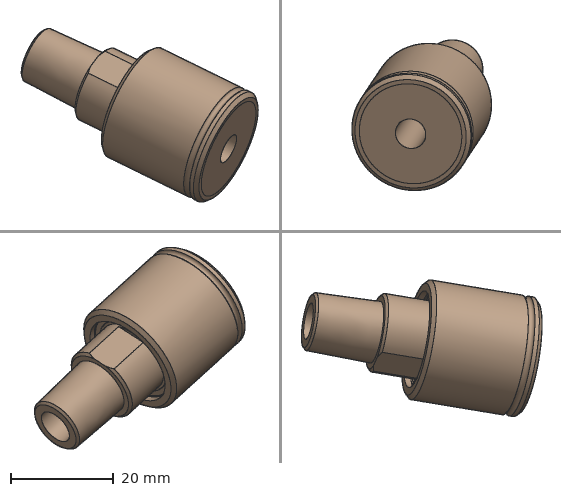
import cadquery as cq


length = 44.05
sleeve_radius = 23.6 / 2

sleeve_start = 21.8
counterbore_radius = 19.05 / 2
counterbore_end = 23.1
lip_radius = 18.9 / 2
lip_end = 23.4
sleeve_chamfer = 0.8
groove_start = 41.07
groove_end = 42.4
groove_depth = 0.57

tip_radius = 5.75
taper_end_radius = 6.1
tip_chamfer_length = 0.5
tip_chamfer_depth = 0.5

collar_start = 13.5
collar_radius = 15.5 / 2
collar_chamfer = 0.55
flat_height = 7.1
flat_end = 22.85

step_start = 23.4
step_radius = 16.65 / 2
flange_start = 23.95
flange_radius = 20.3 / 2

mouth_radius = 7.1 / 2
throat_radius = 6.0 / 2
cone_start = flange_start
cone_end = cone_start + mouth_radius - throat_radius


def revolve_about_x(profile):
    """Turn a closed profile of (x, radius) points into a solid of revolution."""
    return profile.close().revolve(360, (0, 0, 0), (1, 0, 0))


def make_sleeve():
    profile = (
        cq.Workplane("XY")
        .moveTo(sleeve_start, counterbore_radius)
        .lineTo(sleeve_start, sleeve_radius - sleeve_chamfer)
        .lineTo(sleeve_start + sleeve_chamfer, sleeve_radius)
        .lineTo(groove_start, sleeve_radius)
        .threePointArc(
            ((groove_start + groove_end) / 2, sleeve_radius - groove_depth),
            (groove_end, sleeve_radius),
        )
        .lineTo(length - sleeve_chamfer, sleeve_radius)
        .lineTo(length, sleeve_radius - sleeve_chamfer)
        .lineTo(length, flange_radius)
        .lineTo(lip_end, flange_radius)
        .lineTo(lip_end, lip_radius)
        .lineTo(counterbore_end, lip_radius)
        .lineTo(counterbore_end, counterbore_radius)
    )
    return revolve_about_x(profile)


def make_stem_blank():
    """Outer shape and passage of the stem, before the flats are cut."""
    profile = cq.Workplane("XY").polyline([
        (0, mouth_radius),
        (0, tip_radius - tip_chamfer_depth),
        (tip_chamfer_length, tip_radius),
        (collar_start, taper_end_radius),
        (collar_start, collar_radius - collar_chamfer),
        (collar_start + collar_chamfer, collar_radius),
        (step_start, collar_radius),
        (step_start, step_radius),
        (flange_start, step_radius),
        (flange_start, flange_radius),
        (length, flange_radius),
        (length, throat_radius),
        (cone_end, throat_radius),
        (cone_start, mouth_radius),
    ])
    return revolve_about_x(profile)


def make_flat_cutter(side):
    """Block beyond one wrench flat: side is +1 for the top, -1 for the bottom."""
    cut_height = collar_radius - flat_height
    return cq.Workplane("XY").box(
        flat_end - collar_start, 2 * collar_radius, cut_height
    ).translate((
        (collar_start + flat_end) / 2,
        0,
        side * (flat_height + cut_height / 2),
    ))


def make_stem():
    stem = make_stem_blank()
    for side in (1, -1):
        stem = stem.cut(make_flat_cutter(side))
    return stem


sleeve = make_sleeve()
stem = make_stem()

result = cq.Compound.makeCompound([sleeve.val(), stem.val()])